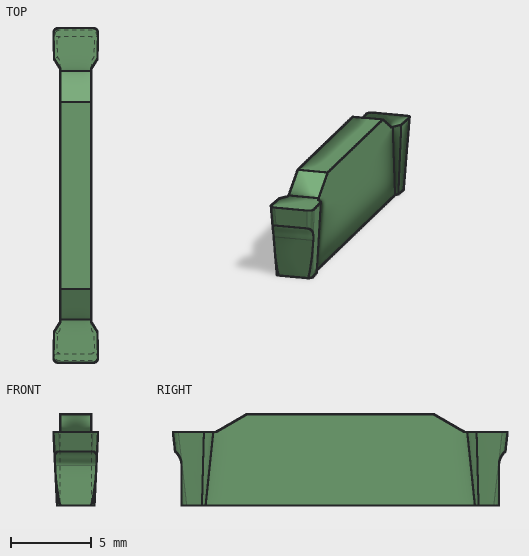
import cadquery as cq
import math

length = 20.8
height = 5.68
web_width = 1.95
head_height = 4.58

ramp_angle = math.radians(30)
ramp_foot = 2.68
ramp_run = (height - head_height) / math.tan(ramp_angle)

tip_width = 2.8
shoulder_width = 2.7
shoulder_setback = 1.93
neck_setback = 2.52
corner_radius = 0.33

base_tip_width = 2.37
base_shoulder_width = 2.25
base_tip_setback = 0.52
base_neck_setback = 2.04
neck_slope = (neck_setback - shoulder_setback) / (shoulder_width - web_width)
base_shoulder_setback = base_neck_setback - neck_slope * (base_shoulder_width - web_width)

edge_depth = 1.2
relief_depth = 2.08
relief_setback = 0.55
tip_slope = base_tip_setback / head_height

half_length = length / 2
web_end = half_length - neck_setback


def make_web():
    """Web plate with a ramp down to head height at each end."""
    foot = half_length - ramp_foot
    crest = foot - ramp_run
    return (
        cq.Workplane("YZ")
        .polyline([
            (-web_end, 0),
            (web_end, 0),
            (web_end, head_height),
            (foot, head_height),
            (crest, height),
            (-crest, height),
            (-foot, head_height),
            (-web_end, head_height),
        ])
        .close()
        .extrude(web_width / 2, both=True)
    )


def head_outline(tip, tip_setback, shoulder, shoulder_back, neck_back):
    """Symmetric head outline at the -Y end, closed inside the web."""
    right_side = [
        (tip / 2, tip_setback - half_length),
        (shoulder / 2, shoulder_back - half_length),
        (web_width / 2, neck_back - half_length),
        (web_width / 2, ramp_foot - half_length),
    ]
    return right_side + [(-x, y) for x, y in reversed(right_side)]


def make_head():
    """Tapered head at the -Y end with rounded corners and a relieved tip."""
    base = head_outline(
        base_tip_width, base_tip_setback, base_shoulder_width, base_shoulder_setback, base_neck_setback
    )
    top = head_outline(tip_width, 0, shoulder_width, shoulder_setback, neck_setback)
    head = (
        cq.Workplane("XY")
        .polyline(base)
        .close()
        .workplane(offset=head_height)
        .polyline(top)
        .close()
        .loft(ruled=True)
    )
    tip_corners = head.faces("<Y").edges("<X or >X")
    rounded_head = tip_corners.fillet(corner_radius)
    return rounded_head.cut(make_relief())


def make_relief():
    """Cutter for the space in front of the relieved tip."""
    arc_top = head_height - edge_depth
    arc_end = head_height - relief_depth
    edge_setback = tip_slope * edge_depth
    inset = relief_setback - edge_setback
    rise = arc_top - arc_end
    radius = (inset**2 + rise**2) / (2 * inset)
    half_sweep = math.asin(rise / radius) / 2
    face_y = relief_setback - half_length
    arc_middle = (
        face_y - radius * (1 - math.cos(half_sweep)),
        arc_end + radius * math.sin(half_sweep),
    )
    return (
        cq.Workplane("YZ")
        .moveTo(-half_length, 0)
        .lineTo(face_y, 0)
        .lineTo(face_y, arc_end)
        .threePointArc(arc_middle, (edge_setback - half_length, arc_top))
        .lineTo(-half_length, arc_top)
        .close()
        .extrude(tip_width, both=True)
    )


front_head = make_head()
back_head = front_head.mirror("XZ")
result = make_web().union(front_head).union(back_head)